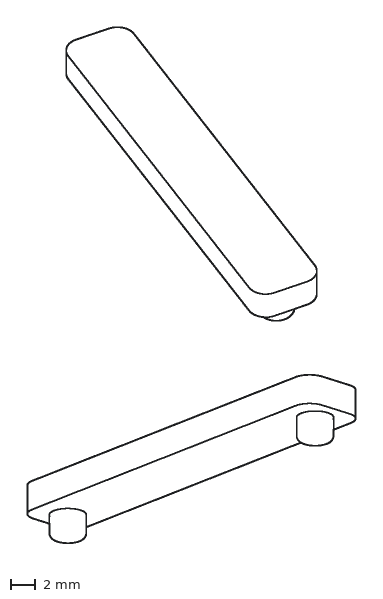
import cadquery as cq

length = 35.0
width = 6.0
total_height = 4.5
plate_thickness = 2.5
corner_radius = 1.5

pin_diameter = 3.0
pin_spacing = 30.0
pin_tip_radius = 0.5
pin_length = total_height - plate_thickness


def make_plate():
    """Flat bar with rounded vertical corners, its underside on Z = 0."""
    plate = cq.Workplane("XY").box(length, width, plate_thickness, centered=(True, True, False))
    return plate.edges("|Z").fillet(corner_radius)


def make_pin(x):
    """Round pin hanging below the plate, with a rounded tip."""
    pin = cq.Workplane("XY").center(x, 0).circle(pin_diameter / 2).extrude(-pin_length)
    return pin.faces("<Z").edges().fillet(pin_tip_radius)


result = make_plate()
for pin_x in (-pin_spacing / 2, pin_spacing / 2):
    result = result.union(make_pin(pin_x))